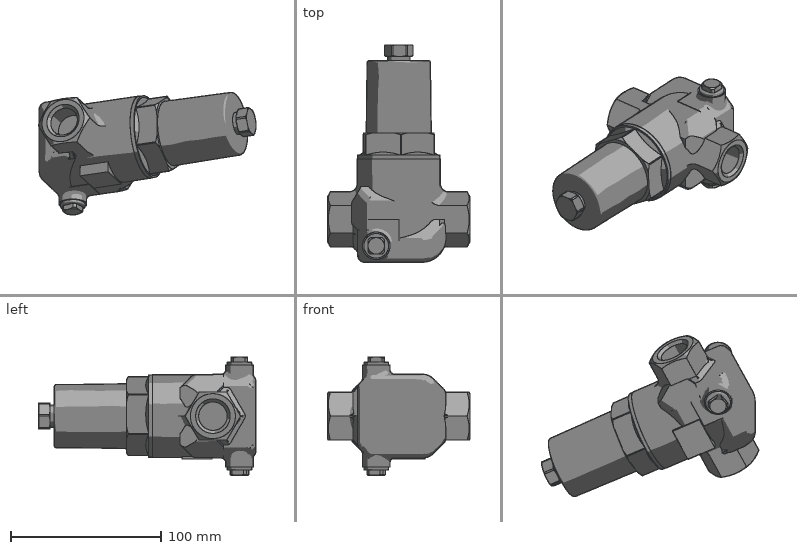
import cadquery as cq
import math


port_half_length = 47.5
port_across_flats = 32.0
port_corner_radius = port_across_flats / math.sqrt(3)
port_face_diameter = 30.0
port_bore_diameter = 19.0
port_mouth_diameter = 23.0
port_mouth_depth = 2.0
port_bore_depth = 16.0
port_neck_start = 30.6
port_neck_flare = 45.0
port_root = 27.0
port_root_fillet = 5.0
port_core_reach = 34.0

body_diameter = 55.4
collar_diameter = 55.0
body_top = 42.8
collar_height = 2.6
body_end = -18.0

front_face = -28.7
housing_half_height = 28.0
housing_left = -27.5
housing_right = 31.4
shoulder_sum = 48.0
housing_fillet = 5.0
right_shoulder_radius = 11.0
right_corner_radius = 16.0
housing_back = 0.0
right_side_radius = 5.0
right_lobe_edge = -12.0

left_lobe_side = -31.4
left_lobe_half_height = 27.7
left_lobe_edge = 13.0
left_lobe_top = 22.0
left_lobe_bottom = -7.0
left_lobe_shoulder = 11.0
left_lobe_lean_x = -25.0
left_lobe_fillet = 3.0

pad_x_range = (-6.0, 17.6)
pad_y_range = (0.5, 20.5)
pad_face = -28.6

plug_x = -15.0
plug_y = -17.7
plug_top = 39.5
boss_diameter = 18.4
boss_top = 34.0
boss_fillet = 3.0
flange_diameter = 16.5
flange_thickness = 2.0
flange_fillet = 0.7
plug_square = 11.0
plug_corner_diameter = 13.4
upper_plug_turn = 0.0
lower_plug_turn = -12.0

bonnet_across_flats = 46.0
bonnet_corner_diameter = 52.7
bonnet_face_diameter = 48.4
bonnet_top = 57.6
bonnet_skirt_height = 2.0
bonnet_turn = 3.2

cap_bottom_diameter = 43.5
cap_top_diameter = 42.3
cap_top = 105.7
cap_fillet = 1.5

screw_diameter = 15.0
screw_across_flats = 17.0
screw_corner_diameter = 19.0
screw_face_diameter = 17.5
screw_head_start = 108.6
overall_length = 144.87
screw_top = front_face + overall_length

ridge_radius = 5.0

tolerance = 0.01
chamfer_slope = math.tan(math.radians(30))


def along_y(solid, start, turn=0.0):
    """Lay a solid built on +Z along +Y, starting at y = start."""
    turned = solid.rotate((0, 0, 0), (0, 0, 1), turn)
    return turned.rotate((0, 0, 0), (1, 0, 0), -90).translate((0, start, 0))


def hexagon(across_flats, height):
    """Hexagonal prism on +Z with two corners on the X axis."""
    return cq.Workplane("XY").polygon(6, across_flats / math.cos(math.pi / 6)).extrude(height)


def turned_hexagon(across_flats, height, corner, face, both_ends):
    """Hexagonal prism on +Z with 30 degree turned ends, corner and face are the turned radii."""
    drop = (corner - face) * chamfer_slope
    outline = [(0, 0), (face, 0), (corner, drop)] if both_ends else [(0, 0), (corner, 0)]
    outline += [(corner, height - drop), (face, height), (0, height)]
    envelope = cq.Workplane("XZ").polyline(outline).close().revolve(360, (0, 0, 0), (0, 1, 0))
    return hexagon(across_flats, height).intersect(envelope)


def rounded_half_housing(side, half_height, y_front, y_back, side_radius, crest_radius):
    """Half of the housing, from x = 0 out to x = side, with rounded 45 degree shoulders."""
    crest = math.copysign(shoulder_sum - half_height, side)
    shoulder = shoulder_sum - abs(side)
    solid = (
        cq.Workplane("XZ", origin=(0, y_front, 0))
        .polyline([(0, half_height), (crest, half_height), (side, shoulder),
                   (side, -shoulder), (crest, -half_height), (0, -half_height)])
        .close()
        .extrude(y_front - y_back)
    )
    for x, radius in ((side, side_radius), (crest, crest_radius)):
        solid = solid.edges("|Y").filter(lambda edge: abs(edge.Center().x - x) < tolerance).fillet(radius)
    return solid


def slope_limit(edge_y, start_y, half_height):
    """Space bounded by the 45 degree planes that fall away from the lobe crests toward +Y."""
    return (
        cq.Workplane("YZ", origin=(-port_half_length, 0, 0))
        .polyline([(start_y, half_height), (edge_y, half_height), (edge_y + half_height, 0),
                   (edge_y, -half_height), (start_y, -half_height)])
        .close()
        .extrude(2 * port_half_length)
    )


def rounded_ridges(lobe):
    """Round the ridges where the +Y slopes of a lobe meet its shoulders."""
    for z_direction in (1, -1):
        slope = cq.selectors.ParallelDirSelector(cq.Vector(0, 1, z_direction))
        ridge = lobe.faces(slope).edges("not |X").filter(lambda edge: abs(edge.Center().x) > tolerance)
        lobe = ridge.fillet(ridge_radius)
    return lobe


def plan_prism(points):
    """Upright prism, tall enough to cover the housing, over an XY outline."""
    return (
        cq.Workplane("XY", origin=(0, 0, -plug_top))
        .polyline(points).close().extrude(2 * plug_top)
    )


def along_x(solid):
    """Lay a solid built on +Z along +X."""
    return solid.rotate((0, 0, 0), (0, 0, 1), 90).rotate((0, 0, 0), (0, 1, 0), 90)


def is_port_root(edge):
    """True for the edges where the port hexagon meets the round body."""
    points = [edge.positionAt(fraction) for fraction in (0.2, 0.5, 0.8)]
    gaps = [abs(math.hypot(p.x, p.z) - body_diameter / 2) for p in points]
    reach = max(abs(p.y) for p in points)
    return max(gaps) < tolerance and reach < port_corner_radius + tolerance


def round_body():
    """Round barrel with its collar and the filleted roots of both ports."""
    barrel_top = body_top - collar_height
    barrel = cq.Workplane("XY").circle(body_diameter / 2).extrude(barrel_top - front_face)
    core = along_x(hexagon(port_across_flats, 2 * port_core_reach)).translate((-port_core_reach, 0, 0))
    solid = along_y(barrel, front_face, 90).union(core)
    solid = solid.edges().filter(is_port_root).fillet(port_root_fillet)
    solid = solid.intersect(
        cq.Workplane("XZ", origin=(0, body_end, 0)).circle(port_half_length).extrude(body_end - barrel_top))
    collar = cq.Workplane("XY").circle(collar_diameter / 2).extrude(collar_height)
    return solid.union(along_y(collar, barrel_top))


def front_housing():
    """Block at the front left joined to the sloping flow lobe at the front right."""
    block = rounded_half_housing(
        housing_left, housing_half_height, front_face, housing_back, housing_fillet, housing_fillet)
    lobe = rounded_half_housing(
        housing_right, housing_half_height, front_face, housing_back,
        right_side_radius, right_shoulder_radius)
    lobe = rounded_ridges(lobe.intersect(slope_limit(right_lobe_edge, front_face, housing_half_height)))
    plan = plan_prism([(housing_left, front_face), (housing_right, front_face),
                       (housing_right, housing_back), (housing_left, housing_back)])
    plan = plan.edges("|Z and <Y and >X").fillet(right_corner_radius)
    plan = plan.edges("|Z and <Y and <X").fillet(housing_fillet)
    return block.union(lobe).intersect(plan).faces("<Y").edges().fillet(housing_fillet)


def is_boss_root(edge):
    """True for the curved edges where a plug boss meets the housing."""
    if edge.geomType() == "LINE" or abs(edge.Center().z) > boss_top - boss_fillet:
        return False
    points = [edge.positionAt(fraction) for fraction in (0.3, 0.7)]
    gaps = [abs(math.hypot(p.x - plug_x, p.y - plug_y) - boss_diameter / 2) for p in points]
    return max(gaps) < tolerance


def housing_with_bosses():
    solid = front_housing()
    for side in (1, -1):
        boss = cq.Workplane("XY").circle(boss_diameter / 2).extrude(side * boss_top)
        solid = solid.union(boss.translate((plug_x, plug_y, 0)))
    return solid.edges().filter(is_boss_root).fillet(boss_fillet)


def left_lobe():
    """Flow passage bulge behind the block, leaning in toward the round body."""
    solid = rounded_half_housing(
        left_lobe_side, left_lobe_half_height, left_lobe_bottom, left_lobe_top,
        left_lobe_fillet, left_lobe_fillet)
    plan = plan_prism([(0, left_lobe_bottom), (housing_left, left_lobe_bottom),
                       (left_lobe_side, left_lobe_bottom + housing_left - left_lobe_side),
                       (left_lobe_side, left_lobe_shoulder),
                       (left_lobe_lean_x, left_lobe_top), (0, left_lobe_top)])
    plan = plan.edges("|Z").filter(
        lambda edge: edge.Center().x < housing_left - tolerance).fillet(left_lobe_fillet)
    solid = solid.intersect(slope_limit(left_lobe_edge, left_lobe_bottom, left_lobe_half_height))
    return rounded_ridges(solid).intersect(plan)


def port():
    """Port on +X: turned hexagon with a neck that flares into the block side."""
    hexagon_end = turned_hexagon(port_across_flats, port_half_length - port_root,
                                 port_corner_radius, port_face_diameter / 2, False)
    neck_length = port_neck_start - port_root
    neck = (
        cq.Workplane("XY", origin=(0, 0, neck_length))
        .polygon(6, 2 * port_corner_radius)
        .extrude(-neck_length, taper=-port_neck_flare)
    )
    block_side = cq.Workplane("XY").box(
        neck_length, port_half_length, 2 * port_half_length, centered=(False, False, True)
    ).translate((0, -port_half_length, 0))
    solid = along_x(hexagon_end).union(along_x(neck).intersect(block_side))
    return solid.translate((port_root, 0, 0))


def port_bore():
    """Blind bore of the +X port with a conical mouth."""
    bore = port_bore_diameter / 2
    inner = port_half_length - port_bore_depth
    return (
        cq.Workplane("XY")
        .polyline([(inner, 0), (inner, bore), (port_half_length - port_mouth_depth, bore),
                   (port_half_length, port_mouth_diameter / 2), (port_half_length, 0)])
        .close()
        .revolve(360, (0, 0, 0), (1, 0, 0))
    )


def name_pad():
    x_start, x_end = pad_x_range
    y_start, y_end = pad_y_range
    return cq.Workplane("XY").box(
        x_end - x_start, y_end - y_start, -pad_face, centered=False
    ).translate((x_start, y_start, pad_face))


def plug(turn):
    """Flanged plug with a square head, pointing along +Z from the origin plane."""
    flange = (
        cq.Workplane("XY", origin=(0, 0, boss_top))
        .circle(flange_diameter / 2).extrude(flange_thickness)
        .edges(">Z").fillet(flange_fillet)
    )
    head = cq.Workplane("XY").rect(plug_square, plug_square).extrude(plug_top)
    corner = plug_corner_diameter / 2
    face = plug_square / 2
    envelope = (
        cq.Workplane("XZ")
        .polyline([(0, 0), (corner, 0), (corner, plug_top - (corner - face) * chamfer_slope),
                   (face, plug_top), (0, plug_top)])
        .close()
        .revolve(360, (0, 0, 0), (0, 1, 0))
    )
    head = head.intersect(envelope).rotate((0, 0, 0), (0, 0, 1), turn)
    return flange.union(head)


def cap():
    length = cap_top - bonnet_top
    solid = (
        cq.Workplane("XY").circle(cap_bottom_diameter / 2)
        .workplane(offset=length).circle(cap_top_diameter / 2).loft()
    )
    return along_y(solid.edges(">Z").fillet(cap_fillet), bonnet_top)


def bonnet():
    solid = turned_hexagon(bonnet_across_flats, bonnet_top - body_top,
                           bonnet_corner_diameter / 2, bonnet_face_diameter / 2, False)
    skirt = (
        cq.Workplane("XY").circle(bonnet_corner_diameter / 2)
        .workplane(offset=bonnet_skirt_height).circle(bonnet_across_flats / 2).loft()
    )
    return along_y(solid.union(skirt), body_top, bonnet_turn + 90)


def adjusting_screw():
    stem = cq.Workplane("XY").circle(screw_diameter / 2).extrude(screw_head_start - cap_top)
    head = turned_hexagon(screw_across_flats, screw_top - screw_head_start,
                          screw_corner_diameter / 2, screw_face_diameter / 2, True)
    return along_y(stem, cap_top).union(along_y(head, screw_head_start, bonnet_turn))


body = round_body().union(housing_with_bosses()).union(left_lobe()).union(name_pad())
for part in (port(), port().mirror("YZ"), bonnet(), cap(), adjusting_screw()):
    body = body.union(part)

upper_plug = plug(upper_plug_turn)
lower_plug = plug(lower_plug_turn).mirror("XY")
for part in (upper_plug, lower_plug):
    body = body.union(part.translate((plug_x, plug_y, 0)))

for bore in (port_bore(), port_bore().mirror("YZ")):
    body = body.cut(bore)

result = body